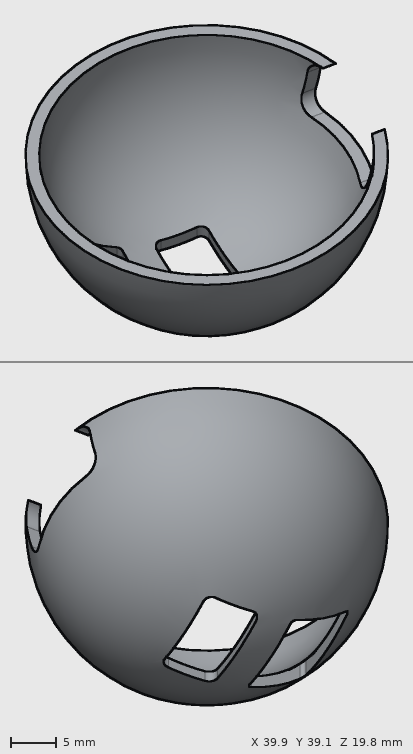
import cadquery as cq

outer_radius = 19.97
wall = 1.5
inner_radius = outer_radius - wall

notch_width = 15.4
notch_height = 7.0
notch_corner = 2.0

floor_window_width = 11.42
floor_window_depth = 6.5
floor_window_y = -0.45
floor_window_corner = 1.0

front_window_width = 11.0
front_window_depth = 7.0
front_window_y = -11.3
front_window_corner = 0.48


def hemisphere(radius):
    """Solid lower half of a sphere, flat face on the XY plane."""
    return (
        cq.Workplane("XZ")
        .lineTo(0, -radius)
        .radiusArc((radius, 0), -radius)
        .close()
        .revolve(360, (0, 0), (0, 1))
    )


def window_cutter(width, depth, center_y, corner):
    """Vertical rounded block reaching from the rim plane to below the bowl."""
    return (
        cq.Workplane("XY")
        .center(0, center_y)
        .rect(width, depth)
        .extrude(-(outer_radius + wall))
        .edges("|Z")
        .fillet(corner)
    )


def notch_cutter():
    """Rounded block running from the bowl centre out through the back wall."""
    return (
        cq.Workplane("XZ")
        .center(0, -notch_height / 2)
        .rect(notch_width, notch_height)
        .extrude(-(outer_radius + wall))
        .edges("|Y")
        .fillet(notch_corner)
    )


bowl = hemisphere(outer_radius).cut(hemisphere(inner_radius))
bowl = bowl.cut(notch_cutter())
bowl = bowl.cut(window_cutter(floor_window_width, floor_window_depth, floor_window_y, floor_window_corner))
bowl = bowl.cut(window_cutter(front_window_width, front_window_depth, front_window_y, front_window_corner))

result = bowl